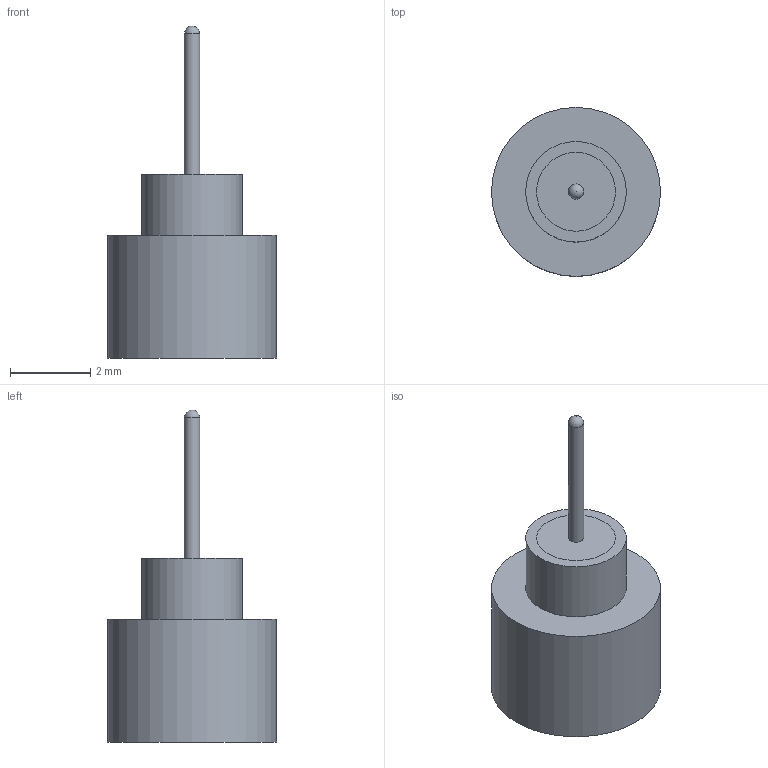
import cadquery as cq

total_height = 8.25
body_height = 3.05
collar_height = 1.52

body_diameter = 4.2
collar_diameter = 2.5
insulator_diameter = 1.96
pin_diameter = 0.38
tip_radius = pin_diameter / 2

collar_top = body_height + collar_height
shank_length = total_height - collar_top - tip_radius


def cylinder(diameter, base_z, height):
    """Upright cylinder centred on the Z axis."""
    return cq.Workplane("XY").workplane(offset=base_z).circle(diameter / 2).extrude(height)


def make_shell():
    """Wide body with a narrower collar, the collar bored for the insulator."""
    body = cylinder(body_diameter, 0, body_height)
    collar = cylinder(collar_diameter, body_height, collar_height)
    bore = cylinder(insulator_diameter, body_height, collar_height)
    return body.union(collar).cut(bore)


def make_insulator():
    """Plug that fills the collar bore flush with the collar's top face."""
    return cylinder(insulator_diameter, body_height, collar_height)


def make_pin():
    """Contact pin with a hemispherical tip."""
    shank = cylinder(pin_diameter, collar_top, shank_length)
    tip = cq.Workplane("XY").sphere(tip_radius).translate((0, 0, collar_top + shank_length))
    return shank.union(tip)


result = make_shell().union(make_insulator(), clean=False).union(make_pin(), clean=False)